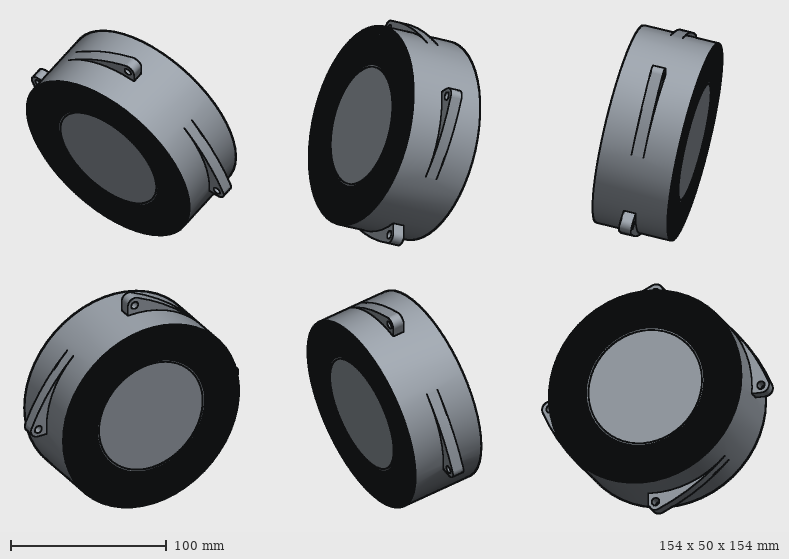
import cadquery as cq
import math

body_radius = 65.5
body_thickness = 50.0
end_face_y = -body_thickness / 2

groove_count = 13
groove_width = 1.0
groove_pitch = 2 * groove_width
groove_depth = 0.2
groove_wall_slope = 0.1
first_groove_radius = 40.0

recess_radius = 38.5
recess_depth = 0.5

lug_count = 4
lug_thickness = 8.0
lug_tip_radius = 5.1
lug_hole_diameter = 5.1
lug_hole_distance = 71.5
lug_reach = 77.0
lug_back_radius = 138.6

lug_tip_distance = lug_reach - lug_tip_radius


def y_cylinder(radius, y_start, length):
    """Cylinder about the Y axis, from y_start towards +Y."""
    return cq.Workplane("XZ", origin=(0, y_start, 0)).circle(radius).extrude(-length)


def make_body():
    return y_cylinder(body_radius, end_face_y, body_thickness)


def make_groove_ring(inner_radius):
    """Ring with sloping walls that cuts one groove into the -Y end face."""
    floor_y = end_face_y + groove_depth
    outer_radius = inner_radius + groove_width
    profile = [
        (inner_radius, end_face_y),
        (outer_radius, end_face_y),
        (outer_radius - groove_wall_slope, floor_y),
        (inner_radius + groove_wall_slope, floor_y),
    ]
    return cq.Workplane("XY").polyline(profile).close().revolve(360, (0, 0), (0, 1))


def make_end_face_cuts():
    """Recess and grooves to remove from the -Y end face."""
    cuts = y_cylinder(recess_radius, end_face_y, recess_depth)
    for index in range(groove_count):
        cuts.add(make_groove_ring(first_groove_radius + index * groove_pitch))
    return cuts.combine()


def make_lug():
    """Lug at +Z: straight on its +X side, its -X side an arc tangent to the tip and to the rim."""
    to_body = lug_back_radius - body_radius
    to_tip = lug_back_radius - lug_tip_radius
    center_z = (to_body**2 - to_tip**2 + lug_tip_distance**2) / (2 * lug_tip_distance)
    center_x = math.sqrt(to_body**2 - center_z**2)

    def back_arc_point(angle):
        return (
            center_x + lug_back_radius * math.cos(angle),
            center_z + lug_back_radius * math.sin(angle),
        )

    tip_angle = math.atan2(lug_tip_distance - center_z, -center_x)
    rim_angle = math.atan2(-center_z, -center_x)
    tip_mid_angle = tip_angle / 2

    outline = (
        cq.Workplane("XZ", origin=(0, lug_thickness / 2, 0))
        .moveTo(0, 0)
        .lineTo(lug_tip_radius, 0)
        .lineTo(lug_tip_radius, lug_tip_distance)
        .threePointArc(
            (
                lug_tip_radius * math.cos(tip_mid_angle),
                lug_tip_distance + lug_tip_radius * math.sin(tip_mid_angle),
            ),
            back_arc_point(tip_angle),
        )
        .threePointArc(back_arc_point((tip_angle + rim_angle) / 2), back_arc_point(rim_angle))
        .close()
    )
    return outline.extrude(lug_thickness)


def make_lug_hole():
    return y_cylinder(lug_hole_diameter / 2, -lug_thickness / 2, lug_thickness).translate(
        (0, 0, lug_hole_distance)
    )


def around_axis(shape, index):
    """Copy of a +Z lug shape turned to the lug place with this index."""
    return shape.rotate((0, 0, 0), (0, 1, 0), index * 360 / lug_count)


result = make_body()
for lug_index in range(lug_count):
    result = result.union(around_axis(make_lug(), lug_index))
    result = result.cut(around_axis(make_lug_hole(), lug_index))

end_face_cuts = make_end_face_cuts()
result = result.cut(end_face_cuts).cut(end_face_cuts.mirror("XZ"))